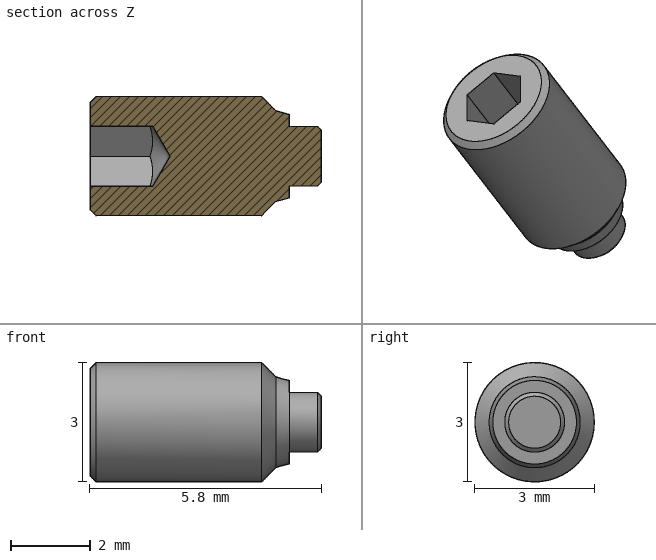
import cadquery as cq
import math

length = 5.8
body_diameter = 3.0
socket_end_chamfer = 0.15
body_end = 4.305
shoulder_start = 4.66
shoulder_end = 5.0
shoulder_start_radius = 1.14
shoulder_end_radius = 1.05
pin_diameter = 1.5
pin_chamfer = 0.1
socket_flats = 1.5
socket_depth = 1.5
socket_tip_angle = 120.0

body_radius = body_diameter / 2
pin_radius = pin_diameter / 2
socket_corner_radius = socket_flats / math.sqrt(3)
socket_tip_depth = socket_corner_radius / math.tan(math.radians(socket_tip_angle / 2))


def revolve_about_x(points):
    """Revolve a closed (x, radius) profile around the X axis."""
    return cq.Workplane("XY").polyline(points).close().revolve(360, (0, 0, 0), (1, 0, 0))


def make_screw_blank():
    """Chamfered body, tapered shoulder and dog-point pin."""
    return revolve_about_x([
        (0, 0),
        (0, body_radius - socket_end_chamfer),
        (socket_end_chamfer, body_radius),
        (body_end, body_radius),
        (shoulder_start, shoulder_start_radius),
        (shoulder_end, shoulder_end_radius),
        (shoulder_end, pin_radius),
        (length - pin_chamfer, pin_radius),
        (length, pin_radius - pin_chamfer),
        (length, 0),
    ])


def make_hex_socket():
    """Hexagonal socket volume, corners toward +Z and -Z, with a conical bottom."""
    total_depth = socket_depth + socket_tip_depth
    corners = []
    for index in range(6):
        angle = math.radians(90 + 60 * index)
        corners.append((socket_corner_radius * math.cos(angle), socket_corner_radius * math.sin(angle)))
    prism = cq.Workplane("YZ").polyline(corners).close().extrude(total_depth)
    pointed_cylinder = revolve_about_x([
        (0, 0),
        (0, socket_corner_radius),
        (socket_depth, socket_corner_radius),
        (total_depth, 0),
    ])
    return prism.intersect(pointed_cylinder)


result = make_screw_blank().cut(make_hex_socket())